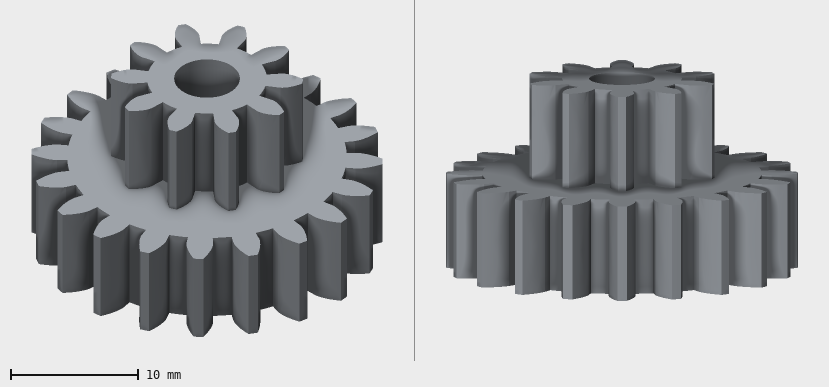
import cadquery as cq
import math

OUTER_DIAMETER = 27.5
WHEEL_TEETH = 20
PINION_TEETH = 10
PRESSURE_ANGLE = math.radians(20)
BORE_DIAMETER = 5.15
TOTAL_HEIGHT = 15.0
BACKLASH = 0.1

ADDENDUM_FACTOR = 1.0
DEDENDUM_FACTOR = 1.25
MODULE = OUTER_DIAMETER / (WHEEL_TEETH + 2 * ADDENDUM_FACTOR)
FLANK_SEGMENTS = 6

FACE_WIDTH = TOTAL_HEIGHT / 2


def polar(radius, angle):
    return (radius * math.cos(angle), radius * math.sin(angle))


def gear(teeth, width):
    """Spur gear on the XY plane, with one tooth centred on +X."""
    pitch_radius = MODULE * teeth / 2
    tip_radius = pitch_radius + ADDENDUM_FACTOR * MODULE
    root_radius = pitch_radius - DEDENDUM_FACTOR * MODULE
    base_radius = pitch_radius * math.cos(PRESSURE_ANGLE)

    tooth_pitch = 2 * math.pi / teeth
    pitch_half_angle = tooth_pitch / 4 - BACKLASH / (2 * pitch_radius)
    base_half_angle = pitch_half_angle + math.tan(PRESSURE_ANGLE) - PRESSURE_ANGLE

    def flank_point(fraction, centre, side):
        """Point on an involute flank, from the base circle (0) to the tip (1)."""
        radius = base_radius + fraction * (tip_radius - base_radius)
        pressure = math.acos(min(1.0, base_radius / radius))
        half_angle = base_half_angle - (math.tan(pressure) - pressure)
        return polar(radius, centre + side * half_angle)

    fractions = [step / FLANK_SEGMENTS for step in range(FLANK_SEGMENTS + 1)]
    outline = cq.Workplane("XY").moveTo(*polar(root_radius, -base_half_angle))
    for index in range(teeth):
        centre = index * tooth_pitch
        rising = [flank_point(fraction, centre, -1) for fraction in fractions]
        falling = [flank_point(fraction, centre, 1) for fraction in reversed(fractions)]
        gap_middle = polar(root_radius, centre + tooth_pitch / 2)
        gap_end = polar(root_radius, centre + tooth_pitch - base_half_angle)

        outline = outline.lineTo(*rising[0])
        outline = outline.spline(rising[1:], includeCurrent=True)
        outline = outline.threePointArc(polar(tip_radius, centre), falling[0])
        outline = outline.spline(falling[1:], includeCurrent=True)
        outline = outline.lineTo(*polar(root_radius, centre + base_half_angle))
        outline = outline.threePointArc(gap_middle, gap_end)
    return outline.close().extrude(width)


wheel = gear(WHEEL_TEETH, FACE_WIDTH)
pinion = gear(PINION_TEETH, FACE_WIDTH).translate((0, 0, FACE_WIDTH))
bore = cq.Workplane("XY").circle(BORE_DIAMETER / 2).extrude(TOTAL_HEIGHT)

result = wheel.union(pinion).cut(bore)